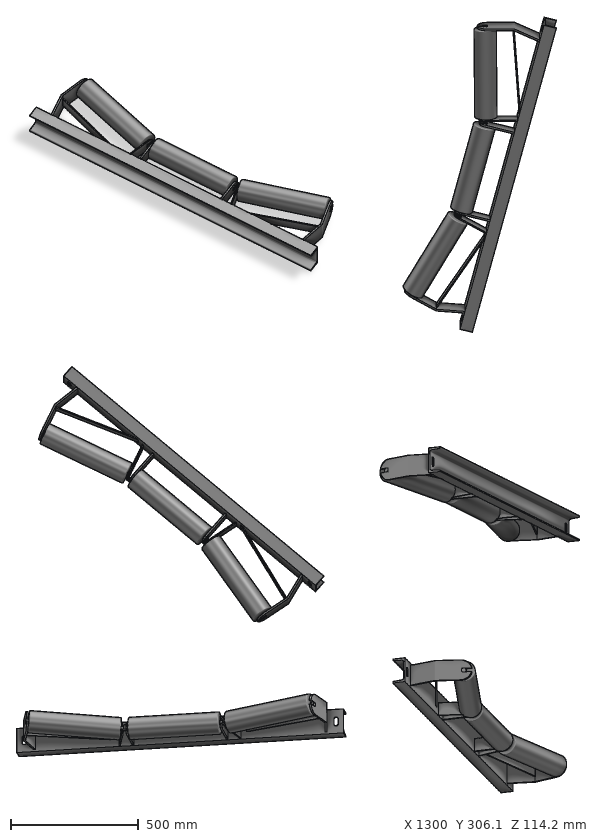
import cadquery as cq
import math

BEAM_LENGTH = 1300.0
BEAM_HEIGHT = 100.0
BEAM_DEPTH = BEAM_HEIGHT / 2
WEB_THICKNESS = 5.0
FLANGE_ROOT = 9.8
FLANGE_TIP = 6.0
ROOT_RADIUS = 8.5
TIP_RADIUS = 4.5
MOUNT_SLOT_WIDTH = 17.0
MOUNT_SLOT_HEIGHT = 36.0
MOUNT_SLOT_END_OFFSET = 30.0
MIDDLE_Z = BEAM_HEIGHT / 2

ROLLER_RADIUS = 44.0
ROLLER_LENGTH = 360.0
ROLLER_EDGE_RADIUS = 4.0
AXLE_RADIUS = 9.8
AXLE_FLAT_WIDTH = 15.0
AXLE_PROTRUSION = 12.0
CENTRE_ROLLER_Y = 168.0
CENTRE_ROLLER_Z = 30.0
WING_ROLLER_X = 389.0
WING_ROLLER_Y = 218.0
WING_ROLLER_Z = 39.0
TROUGH_ANGLE = 15.0
WING_TILT = 3.0

STRIP_THICKNESS = 8.0
HALF_STRIP = STRIP_THICKNESS / 2
OUTER_STRIP_WIDTH = 83.0
OUTER_BASE_X = 580.0
OUTER_BEND_X = 599.0
OUTER_BEND_Y = 159.0
OUTER_BEND_RADIUS = 8.0
OUTER_TOP_Y = 298.0
INNER_STRIP_WIDTH = 52.0
INNER_FOLD_THICKNESS = 5.0
INNER_UPRIGHT_X = 187.0
INNER_LEAN_BASE_X = 239.0
INNER_CROWN_Y = 182.0

BRACE_THICKNESS = 5.0
BRACE_WIDTH = 40.0
BRACE_ANGLE = 18.7
BRACE_TOP_Y = 162.0

TROUGH_TAN = math.tan(math.radians(TROUGH_ANGLE))
TROUGH_COS = math.cos(math.radians(TROUGH_ANGLE))


def make_beam():
    """Channel section extruded along X, with a mounting slot near each end."""
    web_face = BEAM_DEPTH - WEB_THICKNESS
    beam = (
        cq.Workplane("YZ", origin=(-BEAM_LENGTH / 2, 0, 0))
        .moveTo(BEAM_DEPTH, 0)
        .lineTo(BEAM_DEPTH, BEAM_HEIGHT)
        .lineTo(0, BEAM_HEIGHT)
        .lineTo(0, BEAM_HEIGHT - FLANGE_TIP)
        .lineTo(web_face, BEAM_HEIGHT - FLANGE_ROOT)
        .lineTo(web_face, FLANGE_ROOT)
        .lineTo(0, FLANGE_TIP)
        .lineTo(0, 0)
        .close()
        .extrude(BEAM_LENGTH)
    )
    for z in (FLANGE_ROOT, BEAM_HEIGHT - FLANGE_ROOT):
        beam = beam.edges(cq.NearestToPointSelector((0, web_face, z))).fillet(ROOT_RADIUS)
    for z in (FLANGE_TIP, BEAM_HEIGHT - FLANGE_TIP):
        beam = beam.edges(cq.NearestToPointSelector((0, 0, z))).fillet(TIP_RADIUS)

    slot_x = BEAM_LENGTH / 2 - MOUNT_SLOT_END_OFFSET
    slots = (
        cq.Workplane("XZ")
        .pushPoints([(-slot_x, MIDDLE_Z), (slot_x, MIDDLE_Z)])
        .slot2D(MOUNT_SLOT_HEIGHT, MOUNT_SLOT_WIDTH, 90)
        .extrude(-BEAM_DEPTH)
    )
    return beam.cut(slots)


def rod_along_x(radius, length):
    """Cylinder along X, centred on the origin."""
    return cq.Workplane("YZ", origin=(-length / 2, 0, 0)).circle(radius).extrude(length)


def make_axle(length):
    """Axle along X, centred on the origin, flattened above and below."""
    flats = cq.Workplane("XY").box(length, 2 * AXLE_RADIUS, AXLE_FLAT_WIDTH)
    return rod_along_x(AXLE_RADIUS, length).intersect(flats)


def make_roller():
    """Roller and axle along X, centred on the origin."""
    drum = rod_along_x(ROLLER_RADIUS, ROLLER_LENGTH).edges("%CIRCLE").fillet(ROLLER_EDGE_RADIUS)
    return drum.union(make_axle(ROLLER_LENGTH + 2 * AXLE_PROTRUSION))


def make_axle_slots():
    """Cutter for the axle seats at both roller ends, open towards +Y."""
    length = ROLLER_LENGTH + 4 * AXLE_PROTRUSION
    opening_height = 2 * ROLLER_RADIUS
    opening = cq.Workplane("XY").box(
        length, opening_height, AXLE_FLAT_WIDTH, centered=(True, False, True)
    )
    return make_axle(length).union(opening)


def place_at_centre(shape):
    return shape.translate((0, CENTRE_ROLLER_Y, CENTRE_ROLLER_Z))


def place_at_left_wing(shape):
    """Tilt the outer end towards +Z, then swing it towards +Y by the trough angle."""
    return (
        shape.rotate((0, 0, 0), (0, 1, 0), WING_TILT)
        .rotate((0, 0, 0), (0, 0, 1), -TROUGH_ANGLE)
        .translate((-WING_ROLLER_X, WING_ROLLER_Y, WING_ROLLER_Z))
    )


def make_round_top(top_y, width, middle_z):
    """Block across the whole beam length with a semicircular top towards +Y."""
    radius = width / 2
    shoulder_y = top_y - radius
    return (
        cq.Workplane("YZ", origin=(-BEAM_LENGTH / 2, 0, middle_z))
        .moveTo(0, -radius)
        .lineTo(shoulder_y, -radius)
        .threePointArc((top_y, 0), (shoulder_y, radius))
        .lineTo(0, radius)
        .close()
        .extrude(BEAM_LENGTH)
    )


def make_left_outer_bracket():
    """Strip leaning out to a bend, then back in along the roller end."""
    top_x = OUTER_BEND_X - (OUTER_TOP_Y - OUTER_BEND_Y) * TROUGH_TAN
    strip = (
        cq.Workplane("XY", origin=(0, 0, MIDDLE_Z))
        .moveTo(-OUTER_BASE_X - HALF_STRIP, BEAM_DEPTH)
        .lineTo(-OUTER_BEND_X - HALF_STRIP, OUTER_BEND_Y)
        .lineTo(-top_x - HALF_STRIP, OUTER_TOP_Y)
        .lineTo(-top_x + HALF_STRIP, OUTER_TOP_Y)
        .lineTo(-OUTER_BEND_X + HALF_STRIP, OUTER_BEND_Y)
        .lineTo(-OUTER_BASE_X + HALF_STRIP, BEAM_DEPTH)
        .close()
        .extrude(OUTER_STRIP_WIDTH / 2, both=True)
        .edges("<X")
        .fillet(OUTER_BEND_RADIUS)
    )
    strip = strip.intersect(make_round_top(OUTER_TOP_Y, OUTER_STRIP_WIDTH, MIDDLE_Z))
    return strip.cut(place_at_left_wing(make_axle_slots()))


def make_left_inner_bracket():
    """Folded strip: an upright leg, then a thinner round crown and leaning leg."""
    leg_gap = INNER_LEAN_BASE_X - INNER_UPRIGHT_X - (INNER_CROWN_Y - BEAM_DEPTH) * TROUGH_TAN
    crown_radius = leg_gap * TROUGH_COS / (1 + TROUGH_COS)
    crown_x = -INNER_UPRIGHT_X - crown_radius
    outer_radius = crown_radius + HALF_STRIP
    inner_radius = outer_radius - INNER_FOLD_THICKNESS
    lean_angle = math.radians(180 - TROUGH_ANGLE)

    def crown_point(radius, angle):
        return (crown_x + radius * math.cos(angle), INNER_CROWN_Y + radius * math.sin(angle))

    upright_inside_x = -INNER_UPRIGHT_X - HALF_STRIP
    upright_angle = math.acos((upright_inside_x - crown_x) / inner_radius)
    lean_outside_x = -INNER_LEAN_BASE_X - HALF_STRIP / TROUGH_COS
    lean_inside_x = lean_outside_x + INNER_FOLD_THICKNESS / TROUGH_COS

    strip = (
        cq.Workplane("XY", origin=(0, 0, CENTRE_ROLLER_Z))
        .moveTo(-INNER_UPRIGHT_X + HALF_STRIP, BEAM_DEPTH)
        .lineTo(*crown_point(outer_radius, 0))
        .threePointArc(
            crown_point(outer_radius, lean_angle / 2),
            crown_point(outer_radius, lean_angle),
        )
        .lineTo(lean_outside_x, BEAM_DEPTH)
        .lineTo(lean_inside_x, BEAM_DEPTH)
        .lineTo(*crown_point(inner_radius, lean_angle))
        .threePointArc(
            crown_point(inner_radius, (lean_angle + upright_angle) / 2),
            crown_point(inner_radius, upright_angle),
        )
        .lineTo(upright_inside_x, BEAM_DEPTH)
        .close()
        .extrude(INNER_STRIP_WIDTH / 2, both=True)
    )
    top_y = INNER_CROWN_Y + outer_radius
    strip = strip.intersect(make_round_top(top_y, INNER_STRIP_WIDTH, CENTRE_ROLLER_Z))
    axle_slots = make_axle_slots()
    return strip.cut(place_at_left_wing(axle_slots)).cut(place_at_centre(axle_slots))


def make_left_brace(bracket):
    """Flat bar sloping from the bend of the outer bracket down to the web."""
    slope = math.tan(math.radians(BRACE_ANGLE))
    bottom_y = BRACE_TOP_Y - BRACE_THICKNESS / math.cos(math.radians(BRACE_ANGLE))
    start_x = -OUTER_BEND_X + HALF_STRIP
    bar = (
        cq.Workplane("XY", origin=(0, 0, MIDDLE_Z))
        .moveTo(start_x, BRACE_TOP_Y)
        .lineTo(start_x + (BRACE_TOP_Y - BEAM_DEPTH) / slope, BEAM_DEPTH)
        .lineTo(start_x + (bottom_y - BEAM_DEPTH) / slope, BEAM_DEPTH)
        .lineTo(start_x, bottom_y)
        .close()
        .extrude(BRACE_WIDTH / 2, both=True)
    )
    return bar.cut(bracket)


beam = make_beam()
centre_roller = place_at_centre(make_roller())
wing_roller = place_at_left_wing(make_roller())
outer_bracket = make_left_outer_bracket()
inner_bracket = make_left_inner_bracket()
brace = make_left_brace(outer_bracket)

bodies = [beam.solids().val(), centre_roller.solids().val()]
for left_body in (wing_roller, outer_bracket, inner_bracket, brace):
    bodies.append(left_body.solids().val())
    bodies.append(left_body.mirror("YZ").solids().val())

result = cq.Compound.makeCompound(bodies)